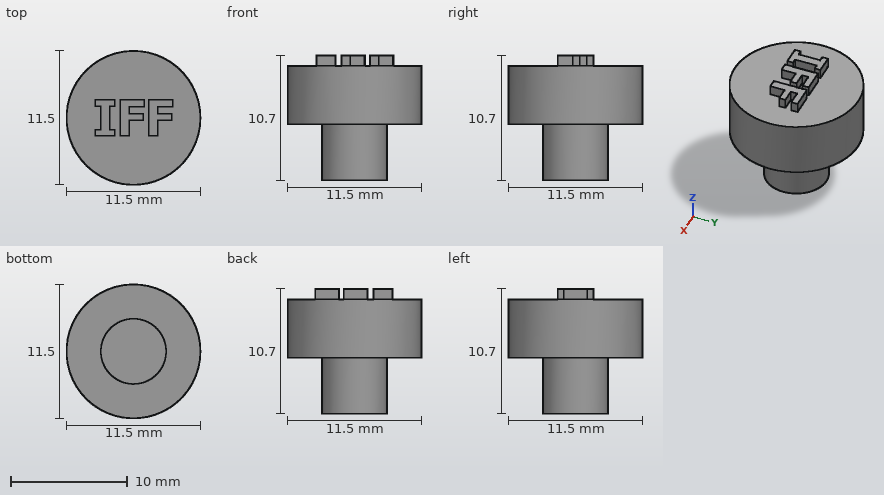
import cadquery as cq

head_diameter = 11.5
head_height = 5.0
stem_diameter = 5.6
stem_length = 4.8

letter_relief = 0.9
letter_height = 3.08
stroke_width = 0.77
i_left = -3.27
i_width = 1.66
serif_thickness = 0.54
f_lefts = (-1.12, 1.32)
f_top_width = 2.06
f_middle_width = 1.95
f_arm_thickness = 0.59
f_arm_gap = 0.59

head_top = stem_length + head_height
letter_top = letter_height / 2
letter_bottom = -letter_top


def raised_bar(left, bottom, width, height):
    """Rectangular bar standing on the head, placed by its lower left corner."""
    return (
        cq.Workplane("XY", origin=(left, bottom, head_top))
        .rect(width, height, centered=False)
        .extrude(letter_relief)
    )


def letter_i(left):
    upright_left = left + (i_width - stroke_width) / 2
    letter = raised_bar(upright_left, letter_bottom, stroke_width, letter_height)
    for serif_bottom in (letter_bottom, letter_top - serif_thickness):
        letter = letter.union(raised_bar(left, serif_bottom, i_width, serif_thickness))
    return letter


def letter_f(left):
    top_arm_bottom = letter_top - f_arm_thickness
    middle_arm_bottom = top_arm_bottom - f_arm_gap - f_arm_thickness
    letter = raised_bar(left, letter_bottom, stroke_width, letter_height)
    letter = letter.union(raised_bar(left, top_arm_bottom, f_top_width, f_arm_thickness))
    return letter.union(raised_bar(left, middle_arm_bottom, f_middle_width, f_arm_thickness))


stem = cq.Workplane("XY").circle(stem_diameter / 2).extrude(stem_length)
head = cq.Workplane("XY", origin=(0, 0, stem_length)).circle(head_diameter / 2).extrude(head_height)

result = stem.union(head).union(letter_i(i_left))
for f_left in f_lefts:
    result = result.union(letter_f(f_left))